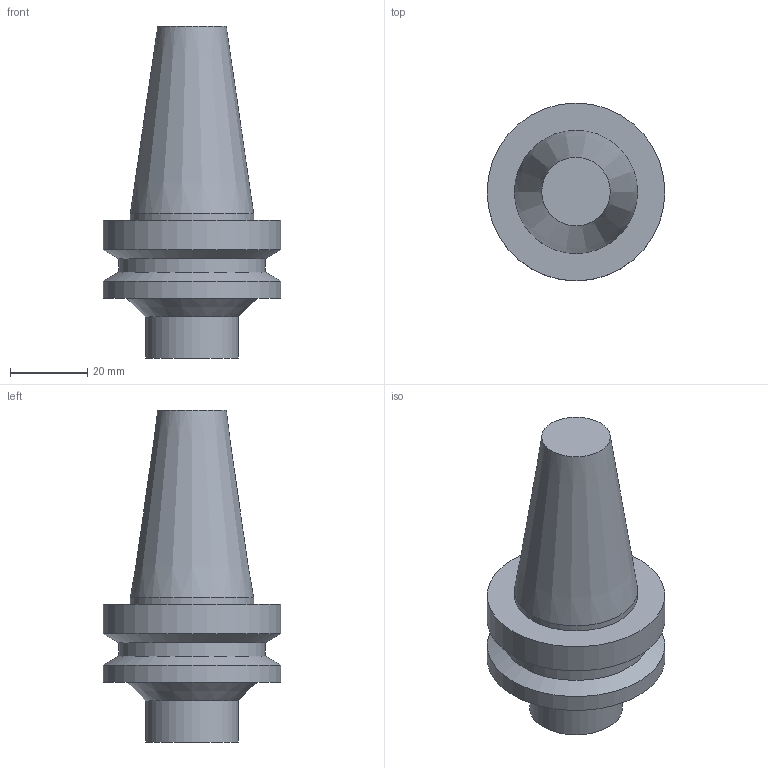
import cadquery as cq
import math

taper_ratio = 7 / 24
gauge_diameter = 31.9
shank_length = 48.6
shank_tip_diameter = gauge_diameter - shank_length * taper_ratio

flange_top_z = -1.6
flange_diameter = 46.0
flange_thickness = 20.2
upper_rim_height = 7.7
lower_rim_height = 4.4
groove_diameter = 38.0
groove_flank_angle = 30.0

overall_length = 85.9
nose_diameter = 24.0
neck_top_diameter = 33.7
neck_height = (neck_top_diameter - nose_diameter) / 2

groove_depth = (flange_diameter - groove_diameter) / 2
flank_height = groove_depth * math.tan(math.radians(groove_flank_angle))
upper_rim_bottom_z = flange_top_z - upper_rim_height
flange_bottom_z = flange_top_z - flange_thickness
lower_rim_top_z = flange_bottom_z + lower_rim_height
neck_bottom_z = flange_bottom_z - neck_height
nose_bottom_z = shank_length - overall_length


def make_body():
    """Revolve the half profile, drawn as (radius, Z), about the Z axis."""
    profile = [
        (0, shank_length),
        (shank_tip_diameter / 2, shank_length),
        (gauge_diameter / 2, 0),
        (gauge_diameter / 2, flange_top_z),
        (flange_diameter / 2, flange_top_z),
        (flange_diameter / 2, upper_rim_bottom_z),
        (groove_diameter / 2, upper_rim_bottom_z - flank_height),
        (groove_diameter / 2, lower_rim_top_z + flank_height),
        (flange_diameter / 2, lower_rim_top_z),
        (flange_diameter / 2, flange_bottom_z),
        (neck_top_diameter / 2, flange_bottom_z),
        (nose_diameter / 2, neck_bottom_z),
        (nose_diameter / 2, nose_bottom_z),
        (0, nose_bottom_z),
    ]
    return cq.Workplane("XZ").polyline(profile).close().revolve(360, (0, 0), (0, 1))


result = make_body()